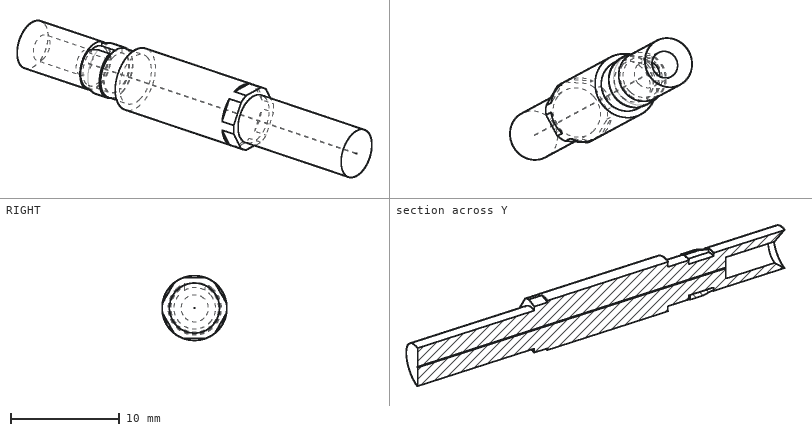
import cadquery as cq

total_length = 38.0
groove_start = 7.37
clip_chamfer_end = 8.4
clip_end = 9.75
groove_end = 9.88
sleeve_start = 12.05
sleeve_end = 24.55
hex_end = 25.9

tube_diameter = 4.65
shoulder_diameter = 4.8
groove_diameter = 3.85
sleeve_diameter = 6.0
hex_across_flats = 5.6
hex_sides = 6

mouth_diameter = 4.6
socket_diameter = 2.5
mouth_depth = (mouth_diameter - socket_diameter) / 2
socket_depth = 6.08
vent_diameter = 0.05

clip_diameter = 4.95
clip_front_diameter = 4.4
clip_gap = 1.85


def cylinder(diameter, start, end):
    """Solid cylinder about the X axis between two stations."""
    return cq.Workplane("YZ", origin=(start, 0, 0)).circle(diameter / 2).extrude(end - start)


def make_hex_collar():
    """Round collar with six flats, two of them facing up and down."""
    collar = cylinder(sleeve_diameter, sleeve_end, hex_end)
    flats = cq.Workplane("YZ", origin=(sleeve_end, 0, 0)).polygon(
        hex_sides, hex_across_flats, circumscribed=True
    ).extrude(hex_end - sleeve_end)
    half_side_angle = 180 / hex_sides
    flats = flats.rotate((0, 0, 0), (1, 0, 0), half_side_angle)
    return collar.intersect(flats)


def make_socket():
    """Tapered mouth leading into a flat-bottomed bore."""
    profile = [
        (0, 0),
        (0, mouth_diameter / 2),
        (mouth_depth, socket_diameter / 2),
        (socket_depth, socket_diameter / 2),
        (socket_depth, 0),
    ]
    return cq.Workplane("XY").polyline(profile).close().revolve(360, (0, 0, 0), (1, 0, 0))


def make_housing():
    """Stepped tube with the clip groove, shoulder, sleeve and the hexagonal collar."""
    body = cylinder(tube_diameter, 0, total_length)
    body = body.union(cylinder(shoulder_diameter, groove_end, sleeve_start))
    body = body.union(cylinder(sleeve_diameter, sleeve_start, sleeve_end))
    body = body.union(make_hex_collar())
    groove = cylinder(sleeve_diameter, groove_start, groove_end).cut(
        cylinder(groove_diameter, groove_start, groove_end)
    )
    vent = cylinder(vent_diameter, socket_depth, total_length)
    return body.cut(groove).cut(make_socket()).cut(vent)


def make_clip():
    """Spring ring seated in the groove, tapered in front and open at the top."""
    profile = [
        (groove_start, groove_diameter / 2),
        (groove_start, clip_front_diameter / 2),
        (clip_chamfer_end, clip_diameter / 2),
        (clip_end, clip_diameter / 2),
        (clip_end, groove_diameter / 2),
    ]
    ring = cq.Workplane("XY").polyline(profile).close().revolve(360, (0, 0, 0), (1, 0, 0))
    opening = cq.Workplane("XY").box(
        clip_end - groove_start, clip_gap, clip_diameter, centered=(False, True, False)
    ).translate((groove_start, 0, 0))
    return ring.cut(opening)


housing = make_housing()
clip = make_clip()

result = cq.Compound.makeCompound([housing.val(), clip.val()])